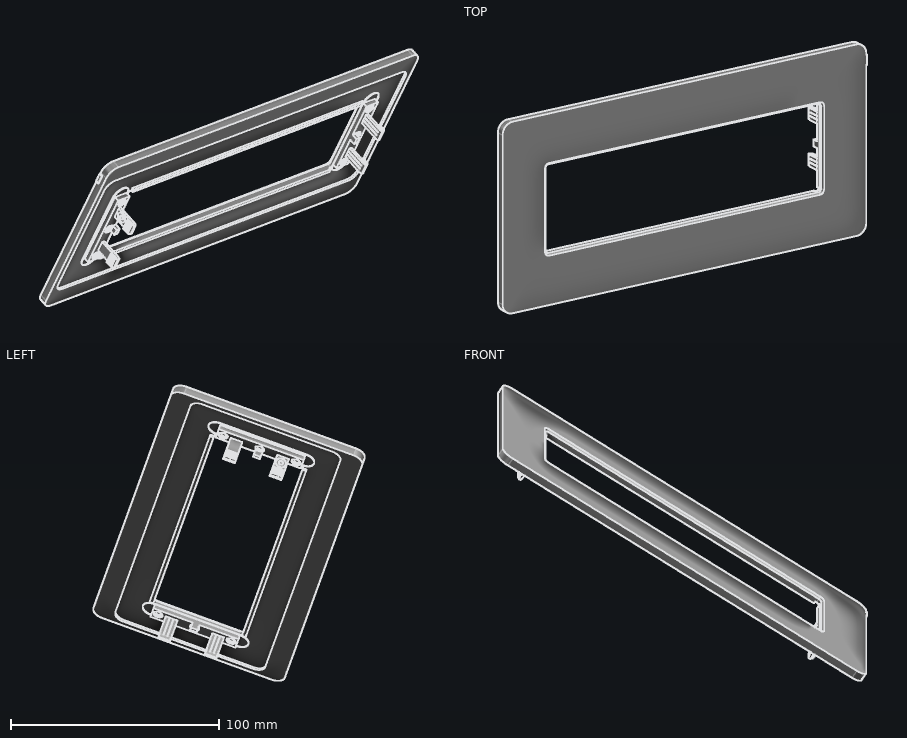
import cadquery as cq


TURN_ABOUT_Y = 33.3
TILT_ABOUT_X = 20.0

PLATE_LENGTH = 209.0
PLATE_WIDTH = 98.0
PLATE_THICKNESS = 4.3
PLATE_CORNER_RADIUS = 5.7

WINDOW_LENGTH = 158.3
WINDOW_WIDTH = 45.3
WINDOW_CORNER_RADIUS = 1.5
WINDOW_BEVEL = 1.0
BEVEL_ANGLE = 45.0

RECESS_LENGTH = 202.3
RECESS_WIDTH = 76.7
RECESS_CORNER_RADIUS = 5.1
RECESS_DEPTH = 1.0
RAIL_LENGTH = 154.4
RAIL_WALL = 2.0

POCKET_WIDTH = 10.0
POCKET_LENGTH = 54.0
POCKET_DEPTH = 0.4
POCKET_CEILING = RECESS_DEPTH + POCKET_DEPTH
POCKET_CENTER_X = WINDOW_LENGTH / 2 + POCKET_WIDTH / 2

NUB_LENGTH = 5.3
NUB_HEIGHT = 1.8
NUB_REACH = 0.46
NUB_CENTER_Y = 40.0

BASE_SETBACK = 0.4
BASE_INNER_X = WINDOW_LENGTH / 2 + BASE_SETBACK
BASE_WIDTH = 7.8
BASE_LENGTH = 43.5
BASE_BOTTOM = -1.0
BASE_HOLE_INSET = 3.7
BASE_HOLE_X = BASE_INNER_X + BASE_HOLE_INSET
BASE_HOLE_DIAMETER = 2.5
BASE_BORE_DIAMETER = 4.6
BASE_BORE_DEPTH = 0.7
HOLE_POSITIONS = (-18.6, 0, 18.6)

ARM_SPACING = 23.8
ARM_WIDTH = 6.0
ARM_INNER_X = 82.3
ARM_THICKNESS = 1.5
ARM_OUTER_X = ARM_INNER_X + ARM_THICKNESS
ARM_TIP = -13.3
TIP_TAPER_HEIGHT = 2.0
TIP_TAPER = 0.4
TOOTH_COUNT = 6
TOOTH_REACH = 1.0
TEETH_TOP = -8.9
GROOVE_WIDTH = 0.2
GROOVE_DEPTH = 0.2
GROOVE_SPACING = 2.0

RING_OUTER_DIAMETER = 5.0
RING_INNER_DIAMETER = 2.1
RING_DEPTH = 0.4
RING_CENTER_Z = -4.6

TAB_WIDTH = 3.5
TAB_THICKNESS = 2.1
TAB_TIP = -4.0


def rounded_block(length, width, bottom, top, radius):
    """A rectangular block centred on the Z axis with rounded upright edges."""
    block = cq.Workplane("XY").workplane(offset=bottom).rect(length, width).extrude(top - bottom)
    return block.edges("|Z").fillet(radius)


def span_block(x_range, y_center, y_width, z_range):
    """A block given by its X and Z ranges and its width about a Y position."""
    x0, x1 = x_range
    z0, z1 = z_range
    return cq.Workplane("XY").box(x1 - x0, y_width, z1 - z0).translate(
        ((x0 + x1) / 2, y_center, (z0 + z1) / 2)
    )


def make_plate():
    """The flat plate with its window, back recess, bracket pockets and edge nub."""
    plate = rounded_block(PLATE_LENGTH, PLATE_WIDTH, 0, PLATE_THICKNESS, PLATE_CORNER_RADIUS)

    recess = rounded_block(RECESS_LENGTH, RECESS_WIDTH, 0, RECESS_DEPTH, RECESS_CORNER_RADIUS)
    rail_x = (-RAIL_LENGTH / 2, RAIL_LENGTH / 2)
    rails = span_block(rail_x, 0, WINDOW_WIDTH + 2 * RAIL_WALL, (0, RECESS_DEPTH))
    plate = plate.cut(recess.cut(rails))

    window = rounded_block(WINDOW_LENGTH, WINDOW_WIDTH, 0, PLATE_THICKNESS, WINDOW_CORNER_RADIUS)
    plate = plate.cut(window)
    bevel_mouth = cq.Sketch().rect(WINDOW_LENGTH + 2 * WINDOW_BEVEL, WINDOW_WIDTH + 2 * WINDOW_BEVEL)
    bevel_mouth = bevel_mouth.vertices().fillet(WINDOW_CORNER_RADIUS + WINDOW_BEVEL)
    bevel = (
        cq.Workplane("XY")
        .workplane(offset=PLATE_THICKNESS)
        .placeSketch(bevel_mouth)
        .extrude(-WINDOW_BEVEL, taper=BEVEL_ANGLE)
    )
    plate = plate.cut(bevel)

    pockets = (
        cq.Workplane("XY")
        .pushPoints([(-POCKET_CENTER_X, 0), (POCKET_CENTER_X, 0)])
        .slot2D(POCKET_LENGTH, POCKET_WIDTH, angle=90)
        .extrude(POCKET_CEILING)
    )
    plate = plate.cut(pockets)

    edge_x = PLATE_LENGTH / 2
    nub_z = (PLATE_THICKNESS - NUB_HEIGHT, PLATE_THICKNESS)
    nub = span_block((edge_x - NUB_REACH, edge_x + NUB_REACH), NUB_CENTER_Y, NUB_LENGTH, nub_z)
    return plate.union(nub)


def make_arm(y_center):
    """A clip arm with saw teeth on its outer face, a tapered tip and grooves down its inner face."""
    taper_top = ARM_TIP + TIP_TAPER_HEIGHT
    tooth_pitch = (TEETH_TOP - ARM_TIP) / TOOTH_COUNT
    profile = [
        (ARM_INNER_X, BASE_BOTTOM),
        (ARM_INNER_X, taper_top),
        (ARM_INNER_X + TIP_TAPER, ARM_TIP),
    ]
    for tooth in range(TOOTH_COUNT):
        tooth_bottom = ARM_TIP + tooth * tooth_pitch
        profile.append((ARM_OUTER_X, tooth_bottom))
        profile.append((ARM_OUTER_X + TOOTH_REACH, tooth_bottom + tooth_pitch))
    profile.append((ARM_OUTER_X, TEETH_TOP))
    profile.append((ARM_OUTER_X, BASE_BOTTOM))
    arm = (
        cq.Workplane("XZ")
        .polyline(profile)
        .close()
        .extrude(ARM_WIDTH / 2, both=True)
        .translate((0, y_center, 0))
    )
    groove_x = (ARM_INNER_X, ARM_INNER_X + GROOVE_DEPTH)
    for side in (-1, 1):
        groove_y = y_center + side * GROOVE_SPACING / 2
        arm = arm.cut(span_block(groove_x, groove_y, GROOVE_WIDTH, (taper_top, BASE_BOTTOM)))
    return arm


def ring_recess(y_center):
    """A shallow ring sunk into the outer face of an arm, with a round boss left in its middle."""
    return (
        cq.Workplane("YZ")
        .workplane(offset=ARM_OUTER_X)
        .center(y_center, RING_CENTER_Z)
        .circle(RING_OUTER_DIAMETER / 2)
        .circle(RING_INNER_DIAMETER / 2)
        .extrude(-RING_DEPTH)
    )


def base_hole(y_center):
    """A counterbored hole through the bracket base, its wide end at the bottom."""
    hole = (
        cq.Workplane("XY")
        .workplane(offset=BASE_BOTTOM)
        .circle(BASE_HOLE_DIAMETER / 2)
        .extrude(POCKET_CEILING - BASE_BOTTOM)
        .union(
            cq.Workplane("XY")
            .workplane(offset=BASE_BOTTOM)
            .circle(BASE_BORE_DIAMETER / 2)
            .extrude(BASE_BORE_DEPTH)
        )
    )
    return hole.translate((BASE_HOLE_X, y_center, 0))


def make_bracket():
    """The bracket for the +X end."""
    base_x = (BASE_INNER_X, BASE_INNER_X + BASE_WIDTH)
    bracket = span_block(base_x, 0, BASE_LENGTH, (BASE_BOTTOM, POCKET_CEILING))

    for side in (-1, 1):
        bracket = bracket.union(make_arm(side * ARM_SPACING / 2))

    bracket = bracket.cut(ring_recess(ARM_SPACING / 2))

    tab_x = (BASE_INNER_X, BASE_INNER_X + TAB_THICKNESS)
    bracket = bracket.union(span_block(tab_x, 0, TAB_WIDTH, (TAB_TIP, BASE_BOTTOM)))

    for y in HOLE_POSITIONS:
        bracket = bracket.cut(base_hole(y))
    return bracket


def tilted(body):
    """Turn a flat-modelled body into its final attitude."""
    turned = body.rotate((0, 0, 0), (0, 1, 0), TURN_ABOUT_Y)
    return turned.rotate((0, 0, 0), (1, 0, 0), TILT_ABOUT_X)


plate = tilted(make_plate())
brackets = []
for end_angle in (0, 180):
    end_bracket = make_bracket().rotate((0, 0, 0), (0, 0, 1), end_angle)
    brackets.append(tilted(end_bracket).val())

result = cq.Compound.makeCompound([plate.val(), *brackets])